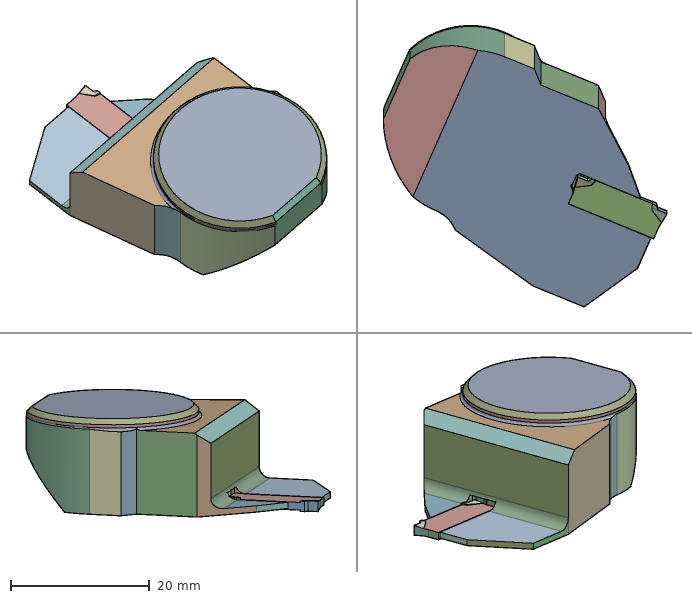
import cadquery as cq
import math

total_length = 42.35
total_width = 30.05
block_top = 12.32
block_face_x = 13.55
block_width = 28.2
top_chamfer_run = 2.05
top_chamfer_drop = 1.65
heel_run = 7.62

blade_top = 0.95
blade_fillet = 1.6
blade_tip_x = 0.68
blade_tip_y = 8.4
blade_nose_x = 5.5
back_bend = (8.0, 22.1)
back_block_x = 15.25
back_lower_angle = 47.5

column_radius = 12.58
center_x = 30.8
center_y = total_width - column_radius
flank_end = (27.2, 3.35)
lug_x = 26.15
lug_chamfer = total_width - block_width

disc_radius = 12.5
disc_top = 13.98
disc_chamfer = 0.75
disc_flare = 0.42

insert_mid_x = 7.0
insert_y0 = 13.4
insert_y1 = 18.15
insert_taper = 0.3
flat_end_y = 15.2
insert_mid_z = 0.42
insert_half_thickness = 0.57
corner_half_thickness = 0.75
tip_y = 17.65
notch_x = 1.5
notch_end_x = 1.9
corner_y = 16.05
corner_inner = (2.25, 17.28)
corner_top_x = 2.55

seat_roof = 1.9
relief_depth = 0.42
relief_floor_depth = 0.3
relief_start_y = 15.95
relief_floor_y0 = 16.2
relief_floor_y1 = 17.75

margin = 0.42


def end_x(y):
    """X of the insert's -X end face at a given Y."""
    slope_part = min(1, (tip_y - y) / (tip_y - flat_end_y))
    return insert_taper * slope_part


def mirror_x(x):
    return 2 * insert_mid_x - x


def make_plan():
    """Plan outline of the holder, as a prism taller than the disc."""
    flat_half = math.sqrt(column_radius**2 - (total_length - center_x) ** 2)
    column_low_y = center_y - column_radius
    run = center_x - flank_end[0]
    rise = column_low_y - flank_end[1]
    hollow_radius = (run**2 + rise**2) / (2 * rise)
    half_sweep = math.asin(run / hollow_radius) / 2
    hollow_mid = (
        center_x - hollow_radius * math.sin(half_sweep),
        column_low_y - hollow_radius * (1 - math.cos(half_sweep)),
    )
    arc_angle = (math.pi / 2 + math.atan2(flat_half, total_length - center_x)) / 2
    arc_dx = column_radius * math.cos(arc_angle)
    arc_dy = column_radius * math.sin(arc_angle)
    back_tip_y = back_bend[1] - (back_bend[0] - blade_tip_x) * math.tan(math.radians(back_lower_angle))
    return (
        cq.Workplane("XY")
        .moveTo(blade_tip_x, blade_tip_y)
        .lineTo(blade_nose_x, 0)
        .lineTo(block_face_x, 0)
        .lineTo(*flank_end)
        .threePointArc(hollow_mid, (center_x, column_low_y))
        .threePointArc((center_x + arc_dx, center_y - arc_dy), (total_length, center_y - flat_half))
        .lineTo(total_length, center_y + flat_half)
        .threePointArc((center_x + arc_dx, center_y + arc_dy), (center_x, total_width))
        .lineTo(lug_x, total_width)
        .lineTo(lug_x - lug_chamfer, block_width)
        .lineTo(back_block_x, block_width)
        .lineTo(*back_bend)
        .lineTo(blade_tip_x, back_tip_y)
        .close()
        .extrude(disc_top)
    )


def make_side_profile():
    """Side outline of blade and block, swept across the whole width."""
    diagonal = blade_fillet * math.sqrt(0.5)
    fillet_mid = (
        block_face_x - blade_fillet + diagonal,
        blade_top + blade_fillet - diagonal,
    )
    return (
        cq.Workplane("XZ")
        .moveTo(0, 0)
        .lineTo(total_length - heel_run, 0)
        .lineTo(total_length, heel_run)
        .lineTo(total_length, block_top)
        .lineTo(block_face_x + top_chamfer_run, block_top)
        .lineTo(block_face_x, block_top - top_chamfer_drop)
        .lineTo(block_face_x, blade_top + blade_fillet)
        .threePointArc(fillet_mid, (block_face_x - blade_fillet, blade_top))
        .lineTo(0, blade_top)
        .close()
        .extrude(-total_width)
    )


def make_disc():
    """Disc with one flat side and a chamfered rim."""
    disc = (
        cq.Workplane("XY", origin=(center_x, center_y, block_top))
        .circle(disc_radius)
        .extrude(disc_top - block_top)
    )
    keep = cq.Workplane("XY").box(total_length, total_width, disc_top, centered=False)
    return disc.intersect(keep).faces(">Z").edges().chamfer(disc_chamfer)


def make_flare():
    """Concave fillet ring joining the disc to the block top."""
    middle = disc_flare * (1 - math.sqrt(0.5))
    return (
        cq.Workplane("XZ", origin=(center_x, center_y, block_top))
        .lineTo(disc_radius + disc_flare, 0)
        .threePointArc((disc_radius + middle, middle), (disc_radius, disc_flare))
        .lineTo(0, disc_flare)
        .close()
        .revolve(360, (0, 0, 0), (0, 1, 0))
    )


def make_pocket():
    """Through slot in the blade, ending in the block with a relief behind the insert corner."""
    wall_x = mirror_x(0)
    outline = [
        (-margin, insert_y0),
        (mirror_x(end_x(insert_y0)), insert_y0),
        (mirror_x(end_x(flat_end_y)), flat_end_y),
        (wall_x + relief_depth, relief_start_y),
        (wall_x + relief_floor_depth, relief_floor_y0),
        (wall_x + relief_floor_depth, relief_floor_y1),
        (wall_x, insert_y1),
        (-margin, insert_y1),
    ]
    return cq.Workplane("XY", origin=(0, 0, -margin)).polyline(outline).close().extrude(seat_roof + margin)


def make_holder():
    plan = make_plan()
    body = make_side_profile().intersect(plan)
    flare = make_flare().intersect(plan)
    return body.union(flare).union(make_disc()).cut(make_pocket())


def prism(points, half_thickness):
    """Upright prism centred on the insert's mid plane."""
    base = cq.Workplane("XY", origin=(0, 0, insert_mid_z - half_thickness))
    return base.polyline(points).close().extrude(2 * half_thickness)


def make_corner():
    """Raised -X cutting corner, its thickness growing toward the tip."""
    outline = [
        (0, tip_y),
        (end_x(corner_y), corner_y),
        corner_inner,
        (corner_top_x, insert_y1),
        (notch_end_x, insert_y1),
        (notch_x, tip_y),
    ]
    wedge_section = [
        (corner_y, insert_mid_z - insert_half_thickness),
        (tip_y, insert_mid_z - corner_half_thickness),
        (insert_y1, insert_mid_z - corner_half_thickness),
        (insert_y1, insert_mid_z + corner_half_thickness),
        (tip_y, insert_mid_z + corner_half_thickness),
        (corner_y, insert_mid_z + insert_half_thickness),
    ]
    wedge = cq.Workplane("YZ").polyline(wedge_section).close().extrude(insert_mid_x)
    return prism(outline, corner_half_thickness).intersect(wedge)


def make_insert():
    half_outline = [
        (end_x(insert_y0), insert_y0),
        (end_x(flat_end_y), flat_end_y),
        (0, tip_y),
        (notch_x, tip_y),
        (notch_end_x, insert_y1),
    ]
    mirrored = [(mirror_x(x), y) for x, y in reversed(half_outline)]
    bar = prism(half_outline + mirrored, insert_half_thickness)
    corner = make_corner()
    opposite_corner = corner.mirror("YZ", (insert_mid_x, 0, 0))
    return bar.union(corner).union(opposite_corner)


holder = make_holder()
insert = make_insert()
result = cq.Compound.makeCompound([*holder.solids().vals(), *insert.solids().vals()])